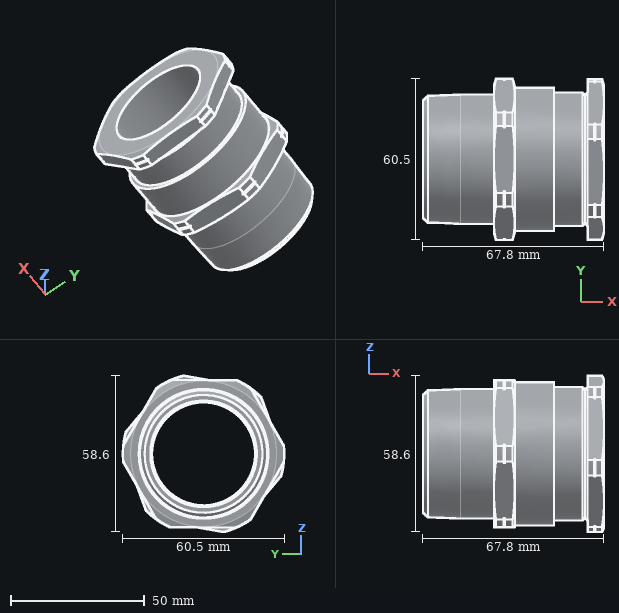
import cadquery as cq
import math

total_length = 67.8
lead_chamfer_end = 2.0
taper_end = 14.05
hex_start = 26.5
hex_end = 34.4
collar_end = 49.1
neck_chamfer_start = 59.6
neck_bottom = 60.6
nut_start = 61.55

entry_radius = 22.05
taper_radius = 23.8
shank_radius = 24.3
collar_radius = 26.85
sleeve_radius = 25.0
neck_radius = 24.0
bore_radius = 19.25
bore_chamfer = 0.7

across_flats = 55.05
corner_radius = 30.25
hex_face_radius = 27.3
hex_chamfer_length = 0.8
nut_turn = 10.0

hex_groove_radius = 0.3
nut_groove_radius = 0.2


def revolve_about_x(points):
    """Turn a closed (x, radius) outline about the X axis."""
    return cq.Workplane("XY").polyline(points).close().revolve(360, (0, 0, 0), (1, 0, 0))


def turned_hexagon(start, end, turn, groove_radius, chamfer_start):
    """Hexagon with rounded, grooved corners, flats facing +-Z before turning."""
    start_chamfer = hex_chamfer_length if chamfer_start else 0.0
    start_radius = hex_face_radius if chamfer_start else corner_radius
    shoulder_start = start + start_chamfer
    shoulder_end = end - hex_chamfer_length

    outline = [(start, 0), (start, start_radius)]
    if chamfer_start:
        outline.append((shoulder_start, corner_radius))
    outline += [(shoulder_end, corner_radius), (end, hex_face_radius), (end, 0)]
    blank = revolve_about_x(outline)

    across_corners = across_flats / math.cos(math.radians(30))
    prism = (
        cq.Workplane("YZ", origin=(start, 0, 0))
        .polygon(6, across_corners)
        .extrude(end - start)
        .rotate((0, 0, 0), (1, 0, 0), turn)
    )
    groove = (
        cq.Workplane("XY")
        .center((shoulder_start + shoulder_end) / 2, corner_radius)
        .circle(groove_radius)
        .revolve(360, (0, -corner_radius, 0), (1, -corner_radius, 0))
    )
    return blank.intersect(prism).cut(groove)


body = revolve_about_x([
    (0, 0),
    (0, entry_radius),
    (lead_chamfer_end, taper_radius),
    (taper_end, shank_radius),
    (hex_end, shank_radius),
    (hex_end, collar_radius),
    (collar_end, collar_radius),
    (collar_end, sleeve_radius),
    (neck_chamfer_start, sleeve_radius),
    (neck_bottom, neck_radius),
    (nut_start, sleeve_radius),
    (total_length, sleeve_radius),
    (total_length, 0),
])

body_hexagon = turned_hexagon(hex_start, hex_end, 0, hex_groove_radius, True)
nut = turned_hexagon(nut_start, total_length, nut_turn, nut_groove_radius, False)

bore = revolve_about_x([
    (0, 0),
    (0, bore_radius + bore_chamfer),
    (bore_chamfer, bore_radius),
    (total_length, bore_radius),
    (total_length, 0),
])

result = body.union(body_hexagon).union(nut).cut(bore)